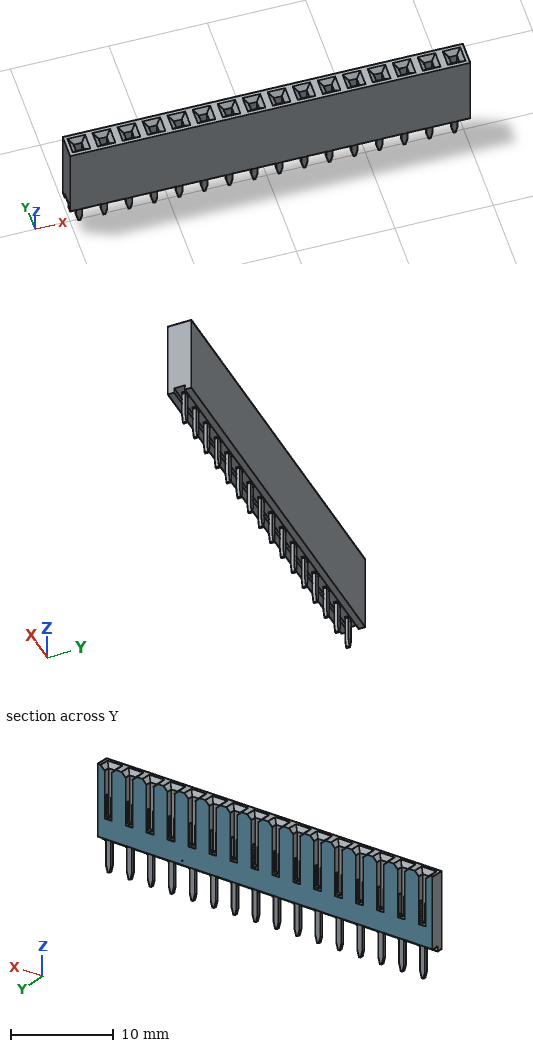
import cadquery as cq

contact_count = 16
length = 40.65
pitch = length / contact_count
width = 2.5
total_height = 11.5
pin_length = 3.0
housing_height = total_height - pin_length

groove_width = 1.15
groove_depth = 0.53

funnel_mouth = 1.8
shaft_width = 0.8
funnel_depth = (funnel_mouth - shaft_width) / 2
shaft_floor = 2.8

blade_thickness = 0.35
blade_width = shaft_width
fork_top = 5.25
slot_width = 0.6
slot_bottom = shaft_floor + 0.2
slot_sag = 0.12
shoulder_drop = 0.12
shoulder_bottom = groove_depth - shoulder_drop
pin_width = 0.6
tip_width = 0.2
tip_length = 0.77
taper_start = tip_length - pin_length


def make_housing():
    """Rectangular bar with a full-length groove in its underside."""
    base = cq.Workplane("XY")
    bar = base.box(length, width, housing_height, centered=(True, True, False))
    groove = base.box(length, groove_width, groove_depth, centered=(True, True, False))
    return bar.cut(groove)


def make_socket():
    """Cutting body of one socket, centred on the Z axis."""
    funnel = (
        cq.Workplane("XY", origin=(0, 0, housing_height))
        .rect(funnel_mouth, funnel_mouth)
        .workplane(offset=-funnel_depth)
        .rect(shaft_width, shaft_width)
        .loft(ruled=True)
    )
    shaft = (
        cq.Workplane("XY", origin=(0, 0, shaft_floor))
        .rect(shaft_width, shaft_width)
        .extrude(housing_height - funnel_depth - shaft_floor)
    )
    return funnel.union(shaft)


def make_contact():
    """Flat contact on the Z axis: slotted fork, shoulder and tapered pin."""
    slot_edge = slot_width / 2
    blade_edge = blade_width / 2
    pin_edge = pin_width / 2
    tip_edge = tip_width / 2
    return (
        cq.Workplane("XZ")
        .moveTo(-slot_edge, fork_top)
        .lineTo(-slot_edge, slot_bottom + slot_sag)
        .threePointArc((0, slot_bottom), (slot_edge, slot_bottom + slot_sag))
        .lineTo(slot_edge, fork_top)
        .lineTo(blade_edge, fork_top)
        .lineTo(blade_edge, shoulder_bottom)
        .lineTo(pin_edge, shoulder_bottom)
        .lineTo(pin_edge, taper_start)
        .lineTo(tip_edge, -pin_length)
        .lineTo(-tip_edge, -pin_length)
        .lineTo(-pin_edge, taper_start)
        .lineTo(-pin_edge, shoulder_bottom)
        .lineTo(-blade_edge, shoulder_bottom)
        .lineTo(-blade_edge, fork_top)
        .close()
        .extrude(blade_thickness / 2, both=True)
    )


result = make_housing()
socket = make_socket()
contact = make_contact()
for index in range(contact_count):
    position = ((index + 0.5) * pitch - length / 2, 0, 0)
    result = result.cut(socket.translate(position))
    result = result.union(contact.translate(position))